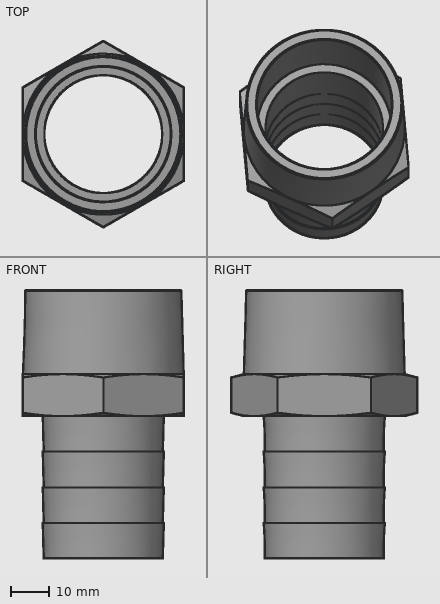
import cadquery as cq
import math

total_height = 70.1
nut_bottom = 37.15
nut_top = 48.1

across_flats = 42.1
nut_chamfer_angle = 15.0

collar_base_radius = 21.0
collar_top_radius = 20.4
collar_edge_chamfer = 0.3

barb_count = 4
barb_large_radius = 15.85
barb_small_radius = 15.55

bore_radius = 15.35
socket_radius = 17.6
socket_depth = 22.2
socket_edge_chamfer = 0.2


def cone_frustum(bottom_radius, top_radius, bottom, top):
    """Solid of revolution about Z with a straight tapered side."""
    outline = [(0, bottom), (bottom_radius, bottom), (top_radius, top), (0, top)]
    return cq.Workplane("XZ").polyline(outline).close().revolve(360, (0, 0), (0, 1))


def hex_nut():
    """Hexagonal prism with its corners turned down conically at both ends."""
    flat_radius = across_flats / 2
    across_corners = across_flats / math.cos(math.radians(30))
    corner_radius = across_corners / 2
    drop = (corner_radius - flat_radius) * math.tan(math.radians(nut_chamfer_angle))
    prism = (
        cq.Workplane("XY", origin=(0, 0, nut_bottom))
        .transformed(rotate=(0, 0, 30))
        .polygon(6, across_corners)
        .extrude(nut_top - nut_bottom)
    )
    envelope_outline = [
        (0, nut_bottom),
        (flat_radius, nut_bottom),
        (corner_radius, nut_bottom + drop),
        (corner_radius, nut_top - drop),
        (flat_radius, nut_top),
        (0, nut_top),
    ]
    envelope = cq.Workplane("XZ").polyline(envelope_outline).close().revolve(360, (0, 0), (0, 1))
    return prism.intersect(envelope)


def collar():
    """Tapered collar with a chamfered outer rim."""
    body = cone_frustum(collar_base_radius, collar_top_radius, nut_top, total_height)
    return body.faces(">Z").edges().chamfer(collar_edge_chamfer)


def hose_tail():
    """Stack of barbs, each narrowing towards the hose end."""
    barb_height = nut_bottom / barb_count
    tail = cq.Workplane("XY")
    for index in range(barb_count):
        bottom = index * barb_height
        barb = cone_frustum(barb_small_radius, barb_large_radius, bottom, bottom + barb_height)
        tail = tail.add(barb) if index == 0 else tail.union(barb)
    return tail


def passage():
    """Through bore opening into a wider socket with a chamfered mouth."""
    bore = cone_frustum(bore_radius, bore_radius, 0, total_height)
    socket = cone_frustum(socket_radius, socket_radius, total_height - socket_depth, total_height)
    mouth = cone_frustum(
        socket_radius,
        socket_radius + socket_edge_chamfer,
        total_height - socket_edge_chamfer,
        total_height,
    )
    return bore.union(socket).union(mouth)


result = hex_nut().union(collar()).union(hose_tail()).cut(passage())